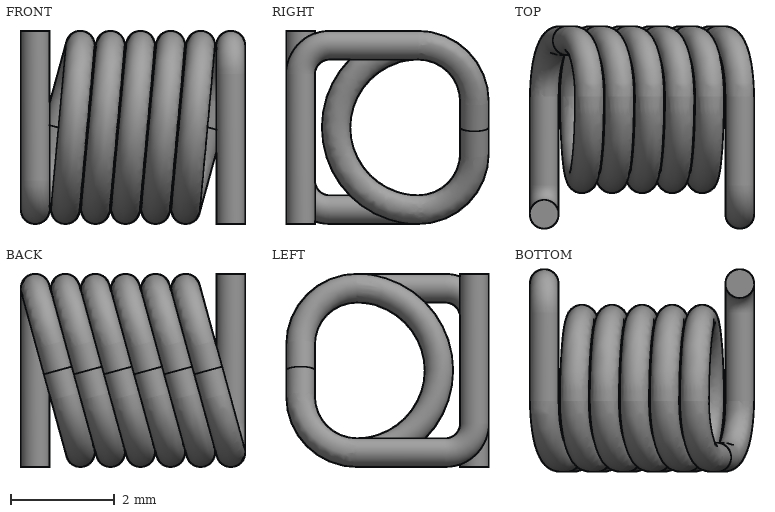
import cadquery as cq
import math

WIRE_DIAMETER = 0.557
OVERALL_HEIGHT = 3.72
TURN_PITCH = 0.58
TURN_COUNT = 5
BACK_Y = 1.08
PIN_Y = -2.265
CORNER_RADIUS = 1.08
BEND_RADIUS = WIRE_DIAMETER

BACK_ADVANCE = 1.5 * TURN_PITCH

HALF_HEIGHT = OVERALL_HEIGHT / 2
COIL_HALF_HEIGHT = HALF_HEIGHT - WIRE_DIAMETER / 2
BACK_SLOPE = BACK_ADVANCE / (2 * COIL_HALF_HEIGHT)
FIRST_BACK_X = -TURN_COUNT * TURN_PITCH / 2
CORNER_START_Y = BACK_Y - CORNER_RADIUS
DIAGONAL = math.sqrt(0.5)


def back_point(back_x, y, z):
    """Point in the slanted back plane that crosses mid-height at back_x."""
    return cq.Vector(back_x + BACK_SLOPE * z, y, z)


def slanted_arc(centre, slope_axis, depth_radius, depth_sign, sweep_angle):
    """Arc from the tip of slope_axis towards depth_sign * Y, round when seen along X."""
    depth_axis = cq.Vector(0, depth_sign, 0)
    return cq.Edge.makeEllipse(
        slope_axis.Length,
        depth_radius,
        pnt=centre,
        dir=slope_axis.cross(depth_axis).normalized(),
        xdir=slope_axis.normalized(),
        angle1=0,
        angle2=sweep_angle,
    )


def back_half(back_x, side):
    """Edges from mid-back through a corner to the coil's top (side=1) or bottom (side=-1)."""
    corner_z = side * (COIL_HALF_HEIGHT - CORNER_RADIUS)
    middle = back_point(back_x, BACK_Y, 0)
    corner_start = back_point(back_x, BACK_Y, corner_z)
    corner_centre = back_point(back_x, CORNER_START_Y, corner_z)
    corner_end = back_point(back_x, CORNER_START_Y, side * COIL_HALF_HEIGHT)
    corner = slanted_arc(corner_centre, corner_end - corner_centre, CORNER_RADIUS, 1, 90)
    return [cq.Edge.makeLine(middle, corner_start), corner]


def wire_body(edges):
    """Sweep the round wire section along a smooth chain of edges."""
    path = cq.Wire.assembleEdges(edges)
    section = cq.Plane(origin=path.startPoint(), normal=path.tangentAt(0))
    return cq.Workplane(section).circle(WIRE_DIAMETER / 2).sweep(cq.Workplane(path)).val()


def make_turn(index):
    """One coil turn, from the middle of one back stretch to the middle of the next."""
    start_x = FIRST_BACK_X + index * TURN_PITCH
    end_x = start_x + TURN_PITCH
    top = back_point(start_x, CORNER_START_Y, COIL_HALF_HEIGHT)
    bottom = back_point(end_x, CORNER_START_Y, -COIL_HALF_HEIGHT)
    centre = (top + bottom) * 0.5
    front_arc = slanted_arc(centre, top - centre, COIL_HALF_HEIGHT, -1, 180)
    descent = back_half(end_x, -1)
    return wire_body(back_half(start_x, 1) + [front_arc] + descent[::-1])


def make_left_terminal():
    """Half a back stretch, a leg along the coil's bottom and an upright pin."""
    half = back_half(FIRST_BACK_X, -1)
    leg_start = back_point(FIRST_BACK_X, CORNER_START_Y, -COIL_HALF_HEIGHT)
    x = leg_start.x
    bend_y = PIN_Y + BEND_RADIUS
    bend_z = -COIL_HALF_HEIGHT + BEND_RADIUS
    bend_reach = BEND_RADIUS * DIAGONAL
    leg_end = cq.Vector(x, bend_y, -COIL_HALF_HEIGHT)
    bend_middle = cq.Vector(x, bend_y - bend_reach, bend_z - bend_reach)
    pin_start = cq.Vector(x, PIN_Y, bend_z)
    pin_end = cq.Vector(x, PIN_Y, HALF_HEIGHT)
    return wire_body(half + [
        cq.Edge.makeLine(leg_start, leg_end),
        cq.Edge.makeThreePointArc(leg_end, bend_middle, pin_start),
        cq.Edge.makeLine(pin_start, pin_end),
    ])


turns = [make_turn(index) for index in range(TURN_COUNT)]
left_terminal = make_left_terminal()
right_terminal = left_terminal.rotate(cq.Vector(0, 0, 0), cq.Vector(0, 1, 0), 180)

result = cq.Compound.makeCompound([left_terminal, *turns, right_terminal])